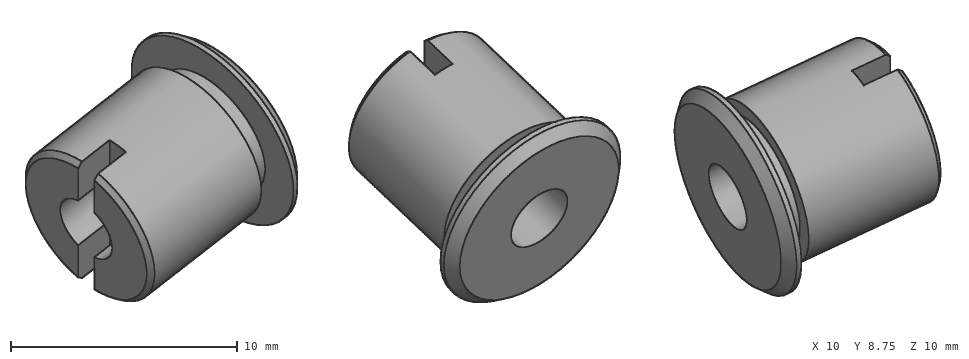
import cadquery as cq

flange_diameter = 10.0
flange_thickness = 0.75
flange_chamfer = 0.5
neck_diameter = 6.5
neck_length = 1.0
body_diameter = 7.97
body_length = 7.0
body_chamfer = 0.25
bore_diameter = 3.2
slot_width = 1.0
slot_depth = 2.0

neck_start = body_length
flange_start = neck_start + neck_length
total_length = flange_start + flange_thickness


def disc(diameter, start, length):
    """Cylinder along +Y that begins at Y = start."""
    plane = cq.Workplane("XZ", origin=(0, start, 0))
    return plane.circle(diameter / 2).extrude(-length)


def make_body():
    """Main barrel with its slotted end chamfered."""
    return disc(body_diameter, 0, body_length).faces("<Y").edges().chamfer(body_chamfer)


def make_flange():
    """Head disc with its outer face chamfered."""
    flange = disc(flange_diameter, flange_start, flange_thickness)
    return flange.faces(">Y").edges().chamfer(flange_chamfer)


def make_slot():
    """Driver slot running along Z across the whole end of the barrel."""
    slot = cq.Workplane("XY").box(slot_width, slot_depth, flange_diameter)
    return slot.translate((0, slot_depth / 2, 0))


neck = disc(neck_diameter, neck_start, neck_length)
bore = disc(bore_diameter, 0, total_length)

result = make_body().union(neck).union(make_flange()).cut(bore).cut(make_slot())